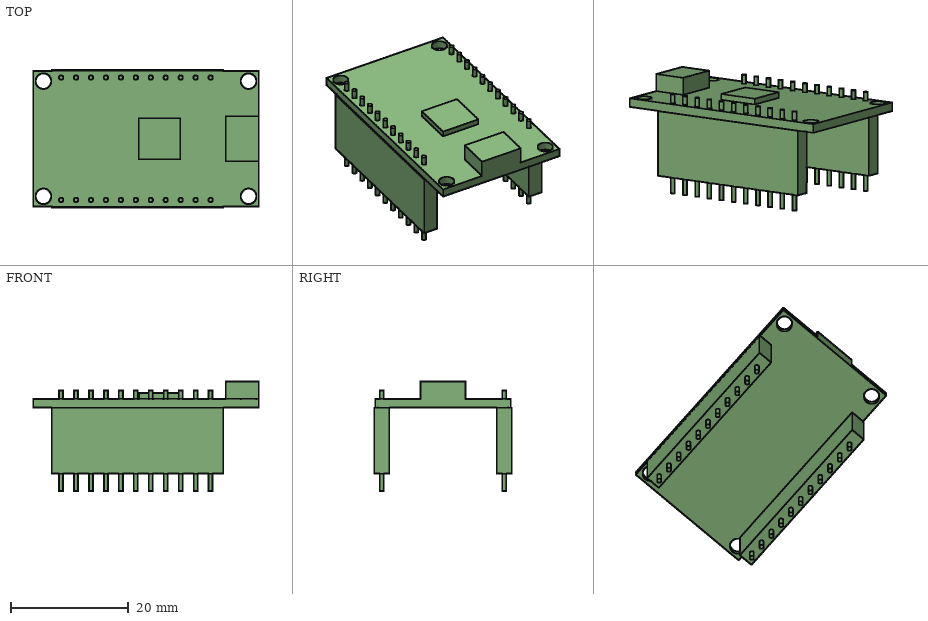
import cadquery as cq

BOARD_LENGTH = 38.4
BOARD_WIDTH = 23.1
BOARD_THICKNESS = 1.5

MOUNT_HOLE_DIAMETER = 2.6
MOUNT_HOLE_INSET = 1.75

CHIP_SIDE = 7.0
CHIP_HEIGHT = 1.0
CHIP_CENTRE_X = 2.3

CONNECTOR_LENGTH = 5.65
CONNECTOR_WIDTH = 7.68
CONNECTOR_HEIGHT = 2.95

OVERALL_WIDTH = 23.42
HEADER_LENGTH = 29.22
HEADER_WIDTH = 2.6
HEADER_HEIGHT = 11.2
HEADER_INSET = 3.15
HEADER_SPACING = OVERALL_WIDTH - HEADER_WIDTH
HEADER_CENTRE_X = -BOARD_LENGTH / 2 + HEADER_INSET + HEADER_LENGTH / 2

PIN_COUNT = 11
PIN_ROW_LENGTH = 25.42
PIN_PITCH = PIN_ROW_LENGTH / (PIN_COUNT - 1)
PIN_DIAMETER = 0.73
PIN_HOLE_DIAMETER = 0.75
PIN_ABOVE_BOARD = 1.45
PIN_BELOW_HEADER = 2.95
FIRST_PIN_INSET = 4.75
FIRST_PIN_X = -BOARD_LENGTH / 2 + FIRST_PIN_INSET
PIN_BOTTOM_Z = -HEADER_HEIGHT - PIN_BELOW_HEADER
PIN_LENGTH = BOARD_THICKNESS + PIN_ABOVE_BOARD - PIN_BOTTOM_Z

HEADER_ROWS_Y = (-HEADER_SPACING / 2, HEADER_SPACING / 2)


def pin_points(row_y):
    """Pin centres of the header row at the given Y."""
    return [(FIRST_PIN_X + i * PIN_PITCH, row_y) for i in range(PIN_COUNT)]


def block(length, width, height, centre, base_z):
    """Upright box with its base centred on the given XY point."""
    return (
        cq.Workplane("XY", origin=(*centre, base_z))
        .box(length, width, height, centered=(True, True, False))
    )


def cut_mount_holes(board):
    """Drill the four corner mounting holes."""
    spacing_x = BOARD_LENGTH - 2 * MOUNT_HOLE_INSET
    spacing_y = BOARD_WIDTH - 2 * MOUNT_HOLE_INSET
    drills = (
        cq.Workplane("XY")
        .rect(spacing_x, spacing_y, forConstruction=True)
        .vertices()
        .circle(MOUNT_HOLE_DIAMETER / 2)
        .extrude(BOARD_THICKNESS)
    )
    return board.cut(drills)


def cut_pin_holes(board):
    """Drill a row of pin holes above each header."""
    for row_y in HEADER_ROWS_Y:
        drills = (
            cq.Workplane("XY")
            .pushPoints(pin_points(row_y))
            .circle(PIN_HOLE_DIAMETER / 2)
            .extrude(BOARD_THICKNESS)
        )
        board = board.cut(drills)
    return board


def make_board():
    """Drilled board carrying the chip and the connector."""
    board = block(BOARD_LENGTH, BOARD_WIDTH, BOARD_THICKNESS, (0, 0), 0)
    board = cut_pin_holes(cut_mount_holes(board))
    chip = block(CHIP_SIDE, CHIP_SIDE, CHIP_HEIGHT, (CHIP_CENTRE_X, 0), BOARD_THICKNESS)
    connector_x = (BOARD_LENGTH - CONNECTOR_LENGTH) / 2
    connector = block(CONNECTOR_LENGTH, CONNECTOR_WIDTH, CONNECTOR_HEIGHT, (connector_x, 0), BOARD_THICKNESS)
    return board.union(chip).union(connector)


def make_header(row_y):
    """Header bar under the board with its row of through pins."""
    bar = block(HEADER_LENGTH, HEADER_WIDTH, HEADER_HEIGHT, (HEADER_CENTRE_X, row_y), -HEADER_HEIGHT)
    pins = (
        cq.Workplane("XY", origin=(0, 0, PIN_BOTTOM_Z))
        .pushPoints(pin_points(row_y))
        .circle(PIN_DIAMETER / 2)
        .extrude(PIN_LENGTH)
    )
    return bar.union(pins)


board = make_board()
headers = [make_header(row_y) for row_y in HEADER_ROWS_Y]

result = cq.Compound.makeCompound([
    board.solids().val(),
    *[header.solids().val() for header in headers],
])